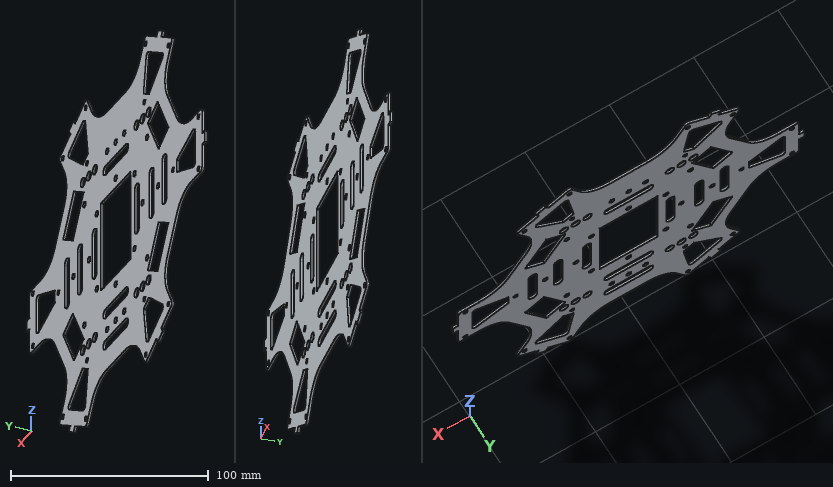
import cadquery as cq
import math

THICKNESS = 1.55
ARM_COUNT = 6
ARM_STEP = 360 / ARM_COUNT

HUB_APOTHEM = 76.0
ARM_REACH = 101.0
ARM_WIDTH = 37.0
ARM_ROOT_RADIUS = 20.0
ARM_CORNER_RADIUS = 2.0
EDGE_MATCH_TOLERANCE = 0.01
TAB_REACH = 104.2
TAB_WIDTH = 6.6

WINDOW_INNER_X = 71.3
WINDOW_OUTER_X = 92.8
WINDOW_INNER_WIDTH = 7.0
WINDOW_OUTER_WIDTH = 23.75
WINDOW_CORNER_RADIUS = 2.0
ARM_HOLE_DIAMETER = 2.5
ARM_TIP_HOLE_X = 96.8
ARM_TIP_HOLE_SPACING = 30.8
ARM_ROOT_HOLE_X = 67.0

OPENING_WIDTH = 34.4
OPENING_HEIGHT = 51.2
HOLE_DIAMETER = 3.0
RING_RADIUS = 31.2
RING_HOLE_COUNT = 8

SLOT_LENGTH = 29.0
SLOT_WIDTH = 5.0
UPRIGHT_SLOT_XS = (24.75, 41.8, 56.9)
LEVEL_SLOT_ZS = (42.2, -42.2, -60.5)

SIDE_HOLE_X = 49.5
DIAGONAL_HOLE = (36.7, 35.5)
ROW_HOLE_SPACING = 10.0
ROW_HOLE_Z = 52.5
WIRE_HOLE_DIAMETER = 5.0
WIRE_HOLE_MIDDLE = (31.4, 49.4)
WIRE_HOLE_SPACING = 7.0

HUB_WINDOW_LENGTH = 25.0
HUB_WINDOW_WIDTH = 13.0
HUB_WINDOW_CENTER = (49.5, 35.7)
HUB_WINDOW_TILT = 90 + ARM_STEP / 2


def sketch_plane():
    """XZ plane through the middle of the plate thickness."""
    return cq.Workplane("XZ")


def extruded(outline):
    """Solid of plate thickness, half on each side of the sketch plane."""
    return outline.extrude(THICKNESS / 2, both=True)


def around_arms(body):
    """One copy of the body for each arm, joined together."""
    copies = body
    for arm in range(1, ARM_COUNT):
        copies = copies.union(body.rotate((0, 0, 0), (0, 1, 0), arm * ARM_STEP))
    return copies


def mirrored(point):
    """The point repeated about both mid-planes."""
    x, z = point
    return [(x, z), (-x, z), (x, -z), (-x, -z)]


def holes(points, diameter):
    return extruded(sketch_plane().pushPoints(points).circle(diameter / 2))


def rounded_arm():
    """Bar from the plate centre to the arm end, with rounded outer corners."""
    bar = extruded(sketch_plane().center(ARM_REACH / 2, 0).rect(ARM_REACH, ARM_WIDTH))
    return bar.edges("|Y and >X").fillet(ARM_CORNER_RADIUS)


def root_corner_distance():
    """Distance from the plate centre to the corners where arm sides meet hub edges."""
    half_step = math.radians(ARM_STEP / 2)
    root_z = ARM_WIDTH / 2
    root_x = (HUB_APOTHEM - root_z * math.sin(half_step)) / math.cos(half_step)
    return math.hypot(root_x, root_z)


def plate_blank():
    hub_diameter = 2 * HUB_APOTHEM / math.cos(math.radians(ARM_STEP / 2))
    hub = extruded(sketch_plane().polygon(ARM_COUNT, hub_diameter))
    blank = hub.union(around_arms(rounded_arm()))

    root_distance = root_corner_distance()
    roots = []
    for edge in blank.edges("|Y").vals():
        middle = edge.Center()
        if math.isclose(math.hypot(middle.x, middle.z), root_distance, abs_tol=EDGE_MATCH_TOLERANCE):
            roots.append(edge)
    blank = blank.newObject(roots).fillet(ARM_ROOT_RADIUS)

    tab = extruded(sketch_plane().center(TAB_REACH / 2, 0).rect(TAB_REACH, TAB_WIDTH))
    return blank.union(around_arms(tab))


def arm_cutouts():
    half_inner = WINDOW_INNER_WIDTH / 2
    half_outer = WINDOW_OUTER_WIDTH / 2
    corners = [
        (WINDOW_INNER_X, -half_inner),
        (WINDOW_OUTER_X, -half_outer),
        (WINDOW_OUTER_X, half_outer),
        (WINDOW_INNER_X, half_inner),
    ]
    window = extruded(sketch_plane().polyline(corners).close())
    window = window.edges("|Y and >X").fillet(WINDOW_CORNER_RADIUS)
    half_spacing = ARM_TIP_HOLE_SPACING / 2
    hole_points = [
        (ARM_TIP_HOLE_X, half_spacing),
        (ARM_TIP_HOLE_X, -half_spacing),
        (ARM_ROOT_HOLE_X, 0),
    ]
    return around_arms(window.union(holes(hole_points, ARM_HOLE_DIAMETER)))


def central_opening():
    return extruded(sketch_plane().rect(OPENING_WIDTH, OPENING_HEIGHT))


def strap_slots():
    upright_points = [(side * x, 0) for x in UPRIGHT_SLOT_XS for side in (-1, 1)]
    level_points = [(0, z) for z in LEVEL_SLOT_ZS]
    upright = extruded(sketch_plane().pushPoints(upright_points).slot2D(SLOT_LENGTH, SLOT_WIDTH, 90))
    level = extruded(sketch_plane().pushPoints(level_points).slot2D(SLOT_LENGTH, SLOT_WIDTH))
    return upright.union(level)


def screw_holes():
    ring = sketch_plane().polarArray(RING_RADIUS, 0, 360, RING_HOLE_COUNT)
    ring = extruded(ring.circle(HOLE_DIAMETER / 2))
    points = [(SIDE_HOLE_X, 0), (-SIDE_HOLE_X, 0)]
    points += mirrored(DIAGONAL_HOLE)
    points += [(i * ROW_HOLE_SPACING, side * ROW_HOLE_Z) for i in (-1, 0, 1) for side in (-1, 1)]
    return ring.union(holes(points, HOLE_DIAMETER))


def wire_holes():
    middle_x, z = WIRE_HOLE_MIDDLE
    points = []
    for i in (-1, 0, 1):
        points += mirrored((middle_x + i * WIRE_HOLE_SPACING, z))
    return holes(points, WIRE_HOLE_DIAMETER)


def hub_windows():
    x, z = HUB_WINDOW_CENTER
    outline = sketch_plane().center(x, z).transformed(rotate=(0, 0, HUB_WINDOW_TILT))
    right_upper = extruded(outline.rect(HUB_WINDOW_LENGTH, HUB_WINDOW_WIDTH))
    upper = right_upper.union(right_upper.mirror("YZ"))
    return upper.union(upper.mirror("XY"))


result = (
    plate_blank()
    .cut(arm_cutouts())
    .cut(central_opening())
    .cut(strap_slots())
    .cut(screw_holes())
    .cut(wire_holes())
    .cut(hub_windows())
)